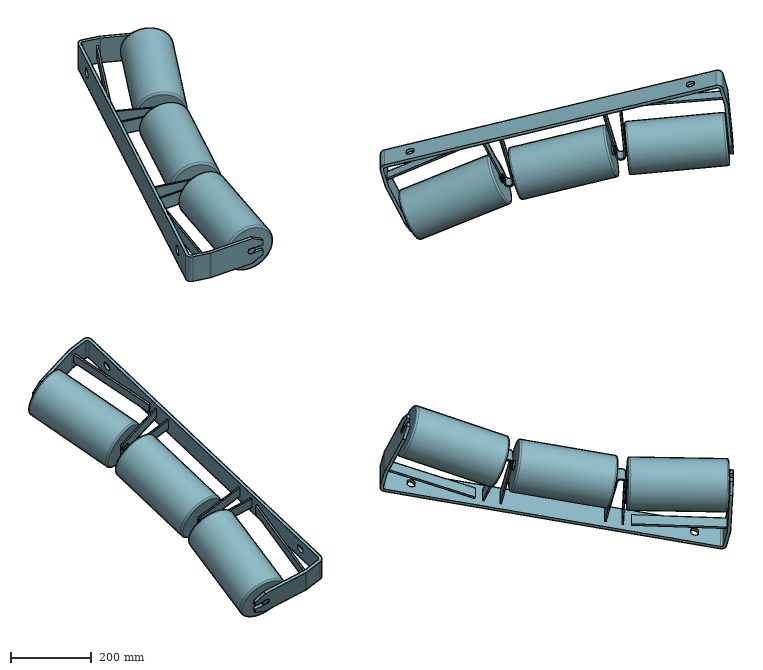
import cadquery as cq
import math


frame_length = 880.0
frame_width = 80.0
frame_thickness = 8.0
frame_bend_radius = 14.0
trough_angle = math.radians(10.0)
kink_height = 60.0
arm_tip_height = 205.9
arm_corner_length = 30.0
arm_corner_angle = math.radians(30.0)
mounting_hole_spacing = 720.0
mounting_hole_width = 20.0
mounting_hole_length = 26.0

bracket_thickness = 4.0
bracket_width = 40.0
bracket_bend_radius = 12.5
bracket_inner_x = 131.0
bracket_crest_height = 151.7

strut_thickness = 5.0
strut_width = 35.0
strut_foot_x = 199.0

roller_diameter = 133.0
roller_length = 250.0
roller_edge_radius = 5.0
shaft_diameter = 24.0
shaft_end_diameter = 20.0
shaft_flat_width = 16.0
shoulder_clearance = 1.5
shaft_end_recess = 1.0
shaft_hole_overrun = 2.0
side_roller_tilt = math.radians(1.56)
middle_roller_height = 126.0
middle_roller_z = 33.3
side_roller_offset = 99.1

half_length = frame_length / 2
frame_mid_z = frame_width / 2
frame_inner_x = half_length - frame_thickness
sin_trough = math.sin(trough_angle)
cos_trough = math.cos(trough_angle)
tan_trough = math.tan(trough_angle)

along_roller = cq.Vector(cos_trough, sin_trough, 0)
up_arm = cq.Vector(-sin_trough, cos_trough, 0)

bracket_bend_center = cq.Vector(
    bracket_inner_x + bracket_bend_radius, bracket_crest_height - bracket_bend_radius, 0
)
bracket_face = bracket_bend_center.dot(along_roller) + bracket_bend_radius
arm_face = cq.Vector(half_length, kink_height, 0).dot(along_roller) - frame_thickness
side_span = arm_face - bracket_face
middle_span = 2 * bracket_inner_x

side_center = (
    along_roller * ((arm_face + bracket_face) / 2)
    + up_arm * side_roller_offset
    + cq.Vector(0, 0, frame_mid_z - side_span / 2 * math.tan(side_roller_tilt))
)
side_axis = along_roller * math.cos(side_roller_tilt) + cq.Vector(0, 0, math.sin(side_roller_tilt))
side_plane = cq.Plane(side_center, up_arm * -1, side_axis)
middle_plane = cq.Plane((0, middle_roller_height, middle_roller_z), (0, 0, 1), (1, 0, 0))

side_end_size = (shaft_end_diameter, shaft_flat_width)
middle_end_size = (shaft_flat_width, shaft_end_diameter)


def mirrored(body):
    return body.mirror("YZ")


def make_flatted_bar(plane, end_size, start, end):
    """Round bar with two flats, between two distances along the roller axis."""
    base = cq.Workplane(plane).workplane(offset=start)
    length = end - start
    return base.circle(shaft_end_diameter / 2).extrude(length).intersect(base.rect(*end_size).extrude(length))


def make_roller(plane, span, flatted_shaft):
    shell = (
        cq.Workplane(plane)
        .workplane(offset=-roller_length / 2)
        .circle(roller_diameter / 2)
        .extrude(roller_length)
        .edges("%CIRCLE")
        .fillet(roller_edge_radius)
    )
    shoulder = span / 2 - shoulder_clearance
    collar = cq.Workplane(plane).circle(shaft_diameter / 2).extrude(shoulder, both=True)
    return shell.union(collar).union(flatted_shaft)


middle_reach = middle_span / 2 + bracket_thickness
side_start = -side_span / 2 - bracket_thickness
side_end = side_span / 2 + frame_thickness

middle_shaft = make_flatted_bar(
    middle_plane, middle_end_size, shaft_end_recess - middle_reach, middle_reach - shaft_end_recess
)
side_shaft = make_flatted_bar(
    side_plane, side_end_size, side_start + shaft_end_recess, side_end - shaft_end_recess
)
middle_shaft_hole = make_flatted_bar(
    middle_plane, middle_end_size, -middle_reach - shaft_hole_overrun, middle_reach + shaft_hole_overrun
)
side_shaft_hole = make_flatted_bar(
    side_plane, side_end_size, side_start - shaft_hole_overrun, side_end + shaft_hole_overrun
)
middle_roller = make_roller(middle_plane, middle_span, middle_shaft)
right_roller = make_roller(side_plane, side_span, side_shaft)


def make_half_bar():
    """Half of the bent strip, from the middle of the base to the tip of the arm."""
    outer_tip = cq.Vector(half_length - (arm_tip_height - kink_height) * tan_trough, arm_tip_height, 0)
    inner_tip = outer_tip - along_roller * frame_thickness
    inner_bend_radius = frame_bend_radius - frame_thickness
    bend_start = half_length - frame_bend_radius
    kink_start = kink_height - frame_bend_radius * math.tan(trough_angle / 2)
    kink_center = cq.Vector(bend_start, kink_start, 0)
    outer_kink_end = kink_center + along_roller * frame_bend_radius
    inner_kink_end = kink_center + along_roller * inner_bend_radius
    bar = (
        cq.Workplane("XY")
        .lineTo(bend_start, 0)
        .radiusArc((half_length, frame_bend_radius), -frame_bend_radius)
        .lineTo(half_length, kink_start)
        .radiusArc((outer_kink_end.x, outer_kink_end.y), -frame_bend_radius)
        .lineTo(outer_tip.x, outer_tip.y)
        .lineTo(inner_tip.x, inner_tip.y)
        .lineTo(inner_kink_end.x, inner_kink_end.y)
        .radiusArc((frame_inner_x, kink_start), inner_bend_radius)
        .lineTo(frame_inner_x, frame_bend_radius)
        .radiusArc((bend_start, frame_thickness), inner_bend_radius)
        .lineTo(0, frame_thickness)
        .close()
        .extrude(frame_width)
    )
    tip_plane = cq.Plane(outer_tip, up_arm, along_roller)
    corner_width = arm_corner_length * math.tan(arm_corner_angle)
    corners = cq.Workplane(tip_plane)
    for edge, inward in ((0, 1), (frame_width, -1)):
        corners = corners.polyline(
            [(0, edge), (-arm_corner_length, edge), (0, edge + inward * corner_width)]
        ).close()
    return bar.cut(corners.extrude(frame_thickness, both=True))


def make_shaft_slot():
    """Slot open at the arm tip, closed below by the shape of the shaft end."""
    slot_length = arm_tip_height
    opening = (
        cq.Workplane(side_plane)
        .center(-slot_length / 2, 0)
        .rect(slot_length, shaft_flat_width)
        .extrude(side_end + shaft_hole_overrun)
    )
    return opening.union(side_shaft_hole)


def make_mounting_hole():
    return (
        cq.Workplane("XZ", origin=(mounting_hole_spacing / 2, 0, frame_mid_z))
        .slot2D(mounting_hole_length, mounting_hole_width, 90)
        .extrude(-frame_thickness)
    )


right_half_frame = make_half_bar().cut(make_shaft_slot()).cut(make_mounting_hole())
frame = right_half_frame.union(mirrored(right_half_frame))


def make_bracket():
    """Folded plate: an upright leg and a leg square to the side roller, joined by a round crest."""
    inner_radius = bracket_bend_radius - bracket_thickness
    outer_x = bracket_inner_x + bracket_bend_radius
    bend_y = bracket_bend_center.y
    foot = frame_thickness

    def leaning_point(radius):
        return bracket_bend_center + along_roller * radius

    def leaning_foot_x(radius):
        top = leaning_point(radius)
        return top.x + (top.y - foot) * tan_trough

    outer_end = leaning_point(bracket_bend_radius)
    inner_end = leaning_point(inner_radius)
    plate = (
        cq.Workplane("XY", origin=(0, 0, frame_mid_z - bracket_width / 2))
        .moveTo(bracket_inner_x, foot)
        .lineTo(bracket_inner_x, bend_y)
        .threePointArc((outer_x, bracket_crest_height), (outer_end.x, outer_end.y))
        .lineTo(leaning_foot_x(bracket_bend_radius), foot)
        .lineTo(leaning_foot_x(inner_radius), foot)
        .lineTo(inner_end.x, inner_end.y)
        .threePointArc((outer_x, bend_y + inner_radius), (outer_x - inner_radius, bend_y))
        .lineTo(outer_x - inner_radius, foot)
        .close()
        .extrude(bracket_width)
    )
    return plate.cut(middle_shaft_hole).cut(side_shaft_hole)


right_bracket = make_bracket()


def make_strut():
    """Flat strip sloping down from the arm, cut square where its lower corner rests on the base."""
    foot = cq.Vector(strut_foot_x, frame_thickness, 0)
    foot_top = foot + up_arm * strut_thickness

    def meets_arm(point):
        return (frame_inner_x, point.y + (frame_inner_x - point.x) * tan_trough)

    return (
        cq.Workplane("XY", origin=(0, 0, frame_mid_z - strut_width / 2))
        .moveTo(foot.x, foot.y)
        .lineTo(*meets_arm(foot))
        .lineTo(*meets_arm(foot_top))
        .lineTo(foot_top.x, foot_top.y)
        .close()
        .extrude(strut_width)
    )


right_strut = make_strut()

right_bodies = [right_roller, right_bracket, right_strut]
left_bodies = [mirrored(body) for body in right_bodies]

result = cq.Compound.makeCompound(
    [frame.val(), middle_roller.val()] + [body.val() for body in right_bodies + left_bodies]
)